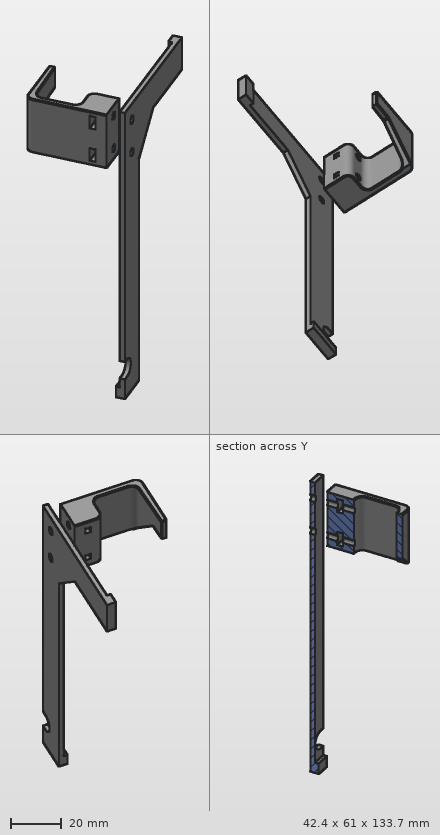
import cadquery as cq
import math


plate_height = 133.7
plate_front = 0.4
plate_back = 61.0
plate_thickness = 2.3
plate_outer_x = 42.4
plate_inner_x = plate_outer_x - plate_thickness
post_width = 15.1
top_arm_height = 15.0
gusset_size = 15.1
pad_length = 5.0
pad_rise = 1.6
notch_width = 8.2
notch_depth = 6.3
notch_z = 13.2
plate_hole_diameter = 3.3

bracket_width = 34.6
bracket_height = 25.0
bracket_bottom = 106.2
bracket_top = bracket_bottom + bracket_height
floor_thickness = 2.8
block_width = 12.5
block_depth = 13.8
block_x = bracket_width - block_width
corner_radius = 3.1
arm_length = 26.0
arm_root_thickness = 3.1
arm_tip_thickness = 2.5
arm_tip_height = 9.9
arm_straight_length = 7.9
arm_bottom = bracket_top - arm_tip_height
edge_chamfer = 0.4

bracket_hole_diameter = 3.1
hole_pitch = 15.1
hole_y = 7.9
bracket_middle_z = bracket_bottom + bracket_height / 2
hole_heights = [bracket_middle_z - hole_pitch / 2, bracket_middle_z + hole_pitch / 2]
nut_across_flats = 5.7
nut_thickness = 2.4
nut_x = 28.7
window_height = 2.5


def box(x_start, x_end, y_start, y_end, z_start, z_end):
    size = (x_end - x_start, y_end - y_start, z_end - z_start)
    return cq.Workplane("XY").box(*size, centered=False).translate((x_start, y_start, z_start))


def screw_holes(diameter, x_start, x_end):
    points = [(hole_y, z) for z in hole_heights]
    plane = cq.Workplane("YZ", origin=(x_start, 0, 0))
    return plane.pushPoints(points).circle(diameter / 2).extrude(x_end - x_start)


def edge_notch():
    """Round-ended notch through the plate's front edge."""
    radius = notch_width / 2
    tip_y = plate_front + notch_depth
    arc_start_y = tip_y - radius
    return (
        cq.Workplane("YZ", origin=(plate_inner_x, 0, 0))
        .moveTo(plate_front, notch_z - radius)
        .lineTo(arc_start_y, notch_z - radius)
        .threePointArc((tip_y, notch_z), (arc_start_y, notch_z + radius))
        .lineTo(plate_front, notch_z + radius)
        .close()
        .extrude(plate_thickness)
    )


def make_plate():
    post_back = plate_front + post_width
    top_arm_bottom = plate_height - top_arm_height
    outline = [
        (plate_front, 0),
        (post_back, 0),
        (post_back, top_arm_bottom - gusset_size),
        (post_back + gusset_size, top_arm_bottom),
        (plate_back, top_arm_bottom),
        (plate_back, plate_height),
        (plate_front, plate_height),
    ]
    plate = cq.Workplane("YZ", origin=(plate_inner_x, 0, 0)).polyline(outline).close()
    plate = plate.extrude(plate_thickness)

    pad_x = plate_inner_x - pad_rise
    foot_pad = box(pad_x, plate_outer_x, plate_front, post_back, 0, pad_length)
    pad_front = plate_back - pad_length
    arm_pad = box(pad_x, plate_outer_x, pad_front, plate_back, top_arm_bottom, plate_height)
    plate = plate.union(foot_pad).union(arm_pad)

    plate = plate.cut(edge_notch())
    return plate.cut(screw_holes(plate_hole_diameter, plate_inner_x, plate_outer_x))


def bracket_blank():
    """Full-height bracket profile with its corners rounded."""
    outline = [
        (0, 0),
        (bracket_width, 0),
        (bracket_width, block_depth),
        (block_x, block_depth),
        (block_x, floor_thickness),
        (arm_root_thickness, floor_thickness),
        (arm_tip_thickness, arm_length),
        (0, arm_length),
    ]
    blank = cq.Workplane("XY", origin=(0, 0, bracket_bottom)).polyline(outline).close()
    blank = blank.extrude(bracket_height)
    rounded_corners = [
        (0, 0),
        (block_x, block_depth),
        (block_x, floor_thickness),
        (arm_root_thickness, floor_thickness),
    ]
    for x, y in rounded_corners:
        corner = cq.selectors.NearestToPointSelector((x, y, bracket_middle_z))
        blank = blank.edges(corner).fillet(corner_radius)
    return blank


def arm_relief():
    """Everything below the arm's straight and sloping lower edges."""
    slope_top_y = arm_length - arm_straight_length
    slope_bottom_y = slope_top_y - (arm_bottom - bracket_bottom)
    outline = [
        (slope_bottom_y, bracket_bottom),
        (arm_length, bracket_bottom),
        (arm_length, arm_bottom),
        (slope_top_y, arm_bottom),
    ]
    relief_width = arm_root_thickness + corner_radius
    return cq.Workplane("YZ").polyline(outline).close().extrude(relief_width)


def nut_trap(z):
    """Slot for a hexagonal nut, with a smaller window through to the block's back."""
    nut_start = nut_x - nut_thickness / 2
    nut_end = nut_x + nut_thickness / 2
    half_flats = nut_across_flats / 2
    tip = nut_across_flats / math.sqrt(3)
    outline = [
        (0, z - half_flats),
        (hole_y + tip / 2, z - half_flats),
        (hole_y + tip, z),
        (hole_y + tip / 2, z + half_flats),
        (0, z + half_flats),
    ]
    pocket = cq.Workplane("YZ", origin=(nut_start, 0, 0)).polyline(outline).close()
    pocket = pocket.extrude(nut_thickness)
    window = box(nut_start, nut_end, hole_y, block_depth, z - window_height / 2, z + window_height / 2)
    return pocket.union(window)


def make_bracket():
    bracket = bracket_blank()
    bracket = bracket.faces(">Z or <Z or >Y").edges("not(>X)").chamfer(edge_chamfer)

    bracket = bracket.cut(arm_relief())
    lower_edges = cq.selectors.BoxSelector(
        (-edge_chamfer, corner_radius + floor_thickness, bracket_bottom),
        (block_x, arm_length - edge_chamfer, arm_bottom + edge_chamfer),
    )
    bracket = bracket.edges(lower_edges).chamfer(edge_chamfer)

    bracket = bracket.cut(screw_holes(bracket_hole_diameter, block_x, bracket_width))
    for z in hole_heights:
        bracket = bracket.cut(nut_trap(z))
    return bracket


plate = make_plate()
bracket = make_bracket()
result = cq.Compound.makeCompound([plate.val(), bracket.val()])